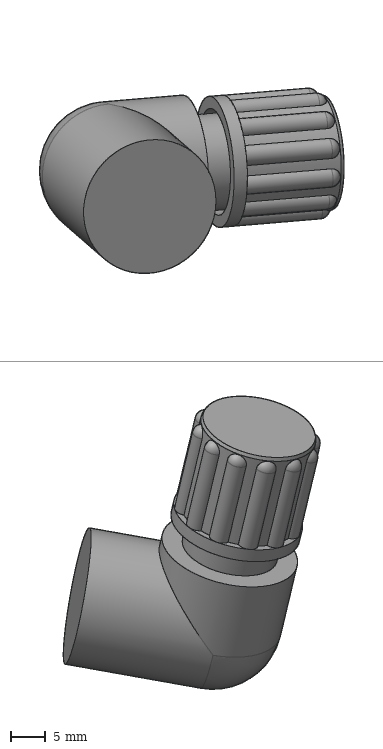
import cadquery as cq

ELBOW_DIAMETER = 20.0
ELBOW_RADIUS = ELBOW_DIAMETER / 2
SIDE_ARM_LENGTH = 20.0
NUT_ARM_LENGTH = 12.0

SPIGOT_DIAMETER = 14.0
NUT_GAP = 4.0

OVERALL_LENGTH = 43.0
NUT_START = NUT_ARM_LENGTH + NUT_GAP
NUT_END = OVERALL_LENGTH - ELBOW_RADIUS
NUT_LENGTH = NUT_END - NUT_START
FLANGE_DIAMETER = 19.0
FLANGE_THICKNESS = 2.0
BARREL_DIAMETER = 17.0
END_CHAMFER_LENGTH = 0.5
END_CHAMFER_DEPTH = 0.2
NUT_BORE_DIAMETER = 15.5
NUT_END_WALL = 2.0
NUT_BORE_DEPTH = NUT_LENGTH - NUT_END_WALL

RIB_COUNT = 12
RIB_SPACING = 360 / RIB_COUNT
RIB_RADIUS = 1.5
RIB_CIRCLE_RADIUS = FLANGE_DIAMETER / 2 - RIB_RADIUS
RIB_START_ANGLE = 10.0
RIB_DOME_START = NUT_END - END_CHAMFER_LENGTH - RIB_RADIUS
RIB_LENGTH = RIB_DOME_START - NUT_START - FLANGE_THICKNESS


def cylinder_along_y(diameter, start, length):
    """Solid cylinder about the Y axis, running toward +Y from start."""
    return cq.Workplane("XZ", origin=(0, start, 0)).circle(diameter / 2).extrude(-length)


def make_elbow():
    """Mitred arms with a spherical outer corner, plus the spigot that enters the nut."""
    corner = cq.Workplane("XY").sphere(ELBOW_RADIUS)
    side_arm = cq.Workplane("YZ").circle(ELBOW_RADIUS).extrude(SIDE_ARM_LENGTH)
    nut_arm = cylinder_along_y(ELBOW_DIAMETER, 0, NUT_ARM_LENGTH)
    spigot = cylinder_along_y(SPIGOT_DIAMETER, NUT_ARM_LENGTH, NUT_GAP + NUT_BORE_DEPTH)
    return side_arm.union(nut_arm).union(corner).union(spigot)


def make_rib(angle):
    """One domed grip rib at the given angle from +Z about the nut axis."""
    bar = cylinder_along_y(2 * RIB_RADIUS, NUT_START + FLANGE_THICKNESS, RIB_LENGTH)
    dome = cq.Workplane("XY", origin=(0, RIB_DOME_START, 0)).sphere(RIB_RADIUS)
    rib = bar.union(dome).translate((0, 0, RIB_CIRCLE_RADIUS))
    return rib.rotate((0, 0, 0), (0, 1, 0), angle)


def make_nut():
    """Flanged nut with grip ribs and a blind bore that clears the spigot."""
    flange = cylinder_along_y(FLANGE_DIAMETER, NUT_START, FLANGE_THICKNESS)
    barrel = cylinder_along_y(BARREL_DIAMETER, NUT_START, NUT_LENGTH)
    barrel = barrel.faces(">Y").chamfer(END_CHAMFER_LENGTH, END_CHAMFER_DEPTH)
    nut = barrel.union(flange)
    for index in range(RIB_COUNT):
        nut = nut.union(make_rib(RIB_START_ANGLE + index * RIB_SPACING))
    return nut.cut(cylinder_along_y(NUT_BORE_DIAMETER, NUT_START, NUT_BORE_DEPTH))


elbow = make_elbow()
nut = make_nut()
result = cq.Compound.makeCompound([*elbow.solids().vals(), *nut.solids().vals()])